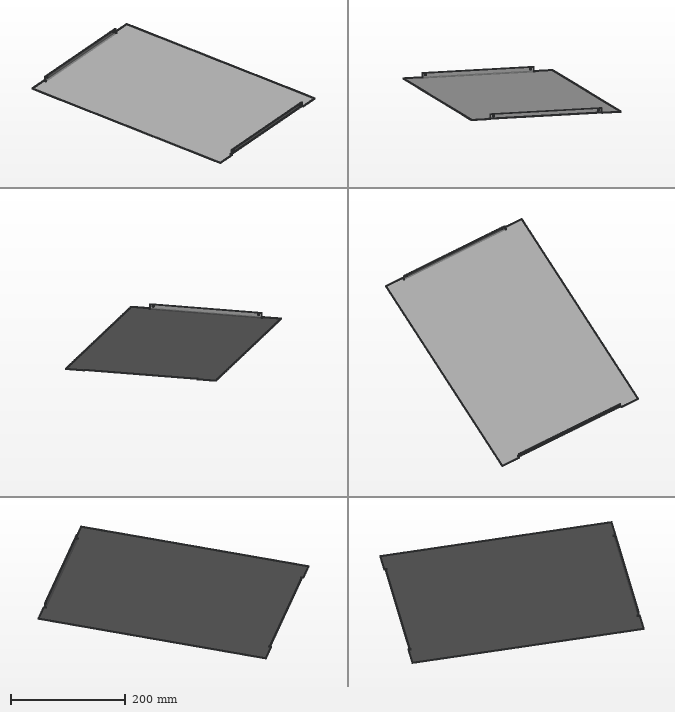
import cadquery as cq

length = 414.0
width = 273.0
thickness = 1.0

height = 8.5
flange_width = 203.5
flange_inset = 1.5
inner_bend_radius = 0.5
outer_bend_radius = inner_bend_radius + thickness

relief_width = 1.0
relief_depth = 4.0

hole_diameter = 2.5
hole_end_distance = 6.0
hole_height = 5.5

flange_face = length / 2 - flange_inset
bend_start = flange_face - outer_bend_radius


def edge_notch(side, depth, notch_width):
    """Block removed from the plate, centred on the short edge at -X or +X."""
    return (
        cq.Workplane("XY")
        .center(side * (length - depth) / 2, 0)
        .rect(depth, notch_width)
        .extrude(thickness)
    )


def make_sheet():
    """Flat plate with the bend areas and their relief slots cut away."""
    plate = cq.Workplane("XY").box(length, width, thickness, centered=(True, True, False))
    relief_span = flange_width + 2 * relief_width
    for side in (-1, 1):
        reliefs = edge_notch(side, relief_depth, relief_span).cut(
            edge_notch(side, relief_depth, flange_width)
        )
        bend_area = edge_notch(side, length / 2 - bend_start, flange_width)
        plate = plate.cut(reliefs).cut(bend_area)
    return plate


def make_flange():
    """Bent flange at +X, with the two holes near its ends."""
    bend_reach = 0.5 ** 0.5
    outer_mid = outer_bend_radius * bend_reach
    inner_mid = inner_bend_radius * bend_reach
    flange = (
        cq.Workplane("XZ", origin=(0, flange_width / 2, 0))
        .moveTo(bend_start, 0)
        .threePointArc(
            (bend_start + outer_mid, outer_bend_radius - outer_mid),
            (flange_face, outer_bend_radius),
        )
        .lineTo(flange_face, height)
        .lineTo(flange_face - thickness, height)
        .lineTo(flange_face - thickness, outer_bend_radius)
        .threePointArc(
            (bend_start + inner_mid, outer_bend_radius - inner_mid),
            (bend_start, thickness),
        )
        .close()
        .extrude(flange_width)
    )
    hole_y = flange_width / 2 - hole_end_distance
    holes = (
        cq.Workplane("YZ", origin=(bend_start, 0, 0))
        .pushPoints([(-hole_y, hole_height), (hole_y, hole_height)])
        .circle(hole_diameter / 2)
        .extrude(outer_bend_radius)
    )
    return flange.cut(holes)


right_flange = make_flange()
left_flange = right_flange.mirror("YZ")
result = make_sheet().union(right_flange).union(left_flange)